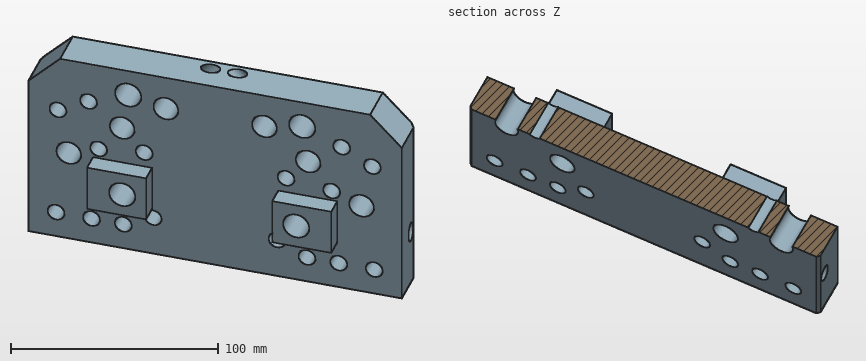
import cadquery as cq
import math

plate_length = 189.0
plate_height = 104.0
plate_thickness = 20.0
corner_chamfer = 16.0
back_edge_chamfer = 1.5

block_width = 29.9
block_height = 24.0
block_depth = 9.5
block_offset = 46.9
block_level = 38.0

large_hole_diameter = 13.2
large_hole_offset = 44.0
large_holes = [
    (large_hole_offset, 90.0),
    (large_hole_offset, block_level),
]

medium_hole_diameter = 12.5
medium_holes = [
    (25.0, 86.0),
    (47.0, 70.1),
    (74.0, 49.9),
]

small_hole_diameter = 8.5
bottom_row_level = 14.0
small_holes = [
    (64.0, 82.0),
    (79.5, 73.9),
    (36.0, 58.0),
    (59.0, 55.4),
    (31.4, 21.0),
    (46.5, bottom_row_level),
    (62.5, bottom_row_level),
    (80.5, bottom_row_level),
]

channel_diameter = 7.0
channel_angle = math.radians(47)
channel_depth = 8.9
channel_overrun = 9.5
channel_depth_from_back = 5.9
end_channel_level = 29.7
top_channel_offset = 6.8


def mirrored(points):
    """Points on both sides of the middle of the plate."""
    return [(side * x, z) for x, z in points for side in (-1, 1)]


def make_plate():
    """Upright plate with its back face at y = 0 and its front face toward -Y."""
    plate = cq.Workplane("XY").box(
        plate_length, plate_thickness, plate_height, centered=(True, False, False)
    )
    plate = plate.translate((0, -plate_thickness, 0))
    plate = plate.edges("|Y and >Z").chamfer(corner_chamfer)
    return plate.faces(">Y").edges("|Z").chamfer(back_edge_chamfer)


def make_blocks():
    """Pair of rectangular blocks standing on the front face."""
    return (
        cq.Workplane("XZ", origin=(0, -plate_thickness, 0))
        .pushPoints(mirrored([(block_offset, block_level)]))
        .rect(block_width, block_height)
        .extrude(block_depth)
    )


def make_holes(points, diameter):
    """Mirrored holes running through the plate and the blocks."""
    return (
        cq.Workplane("XZ")
        .pushPoints(mirrored(points))
        .circle(diameter / 2)
        .extrude(plate_thickness + block_depth)
    )


def make_channel(mouth_x, mouth_z, into_x, into_z):
    """Blind channel whose axis enters at the mouth and runs inward along (into_x, into_z)."""
    direction = cq.Vector(into_x, 0, into_z).normalized()
    start = cq.Vector(mouth_x, -channel_depth_from_back, mouth_z) - direction * channel_overrun
    length = channel_overrun + channel_depth
    return cq.Workplane(cq.Solid.makeCylinder(channel_diameter / 2, length, start, direction))


result = make_plate().union(make_blocks())
result = result.cut(make_holes(large_holes, large_hole_diameter))
result = result.cut(make_holes(medium_holes, medium_hole_diameter))
result = result.cut(make_holes(small_holes, small_hole_diameter))
for side in (-1, 1):
    outward = side * math.cos(channel_angle)
    rise = math.sin(channel_angle)
    result = result.cut(make_channel(side * plate_length / 2, end_channel_level, -outward, rise))
    result = result.cut(make_channel(side * top_channel_offset, plate_height, outward, -rise))